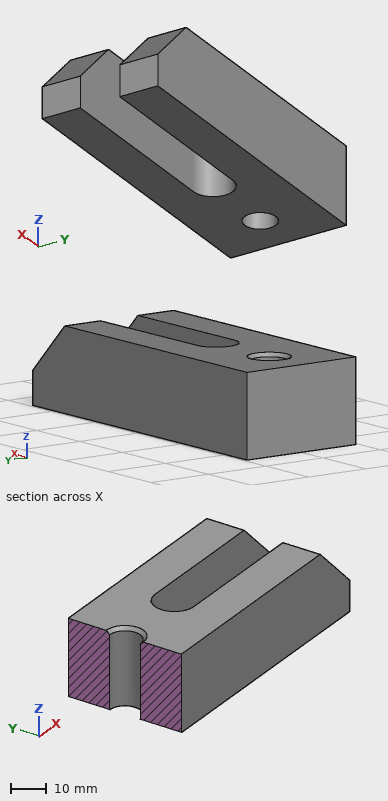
import cadquery as cq

length = 100.0
width = 38.0
height = 25.0
nose_bevel = 15.0

slot_width = 13.0
slot_end_center_x = 40.0

hole_x = 15.0
hole_diameter = 10.2
countersink_diameter = 12.4
countersink_depth = (countersink_diameter - hole_diameter) / 2


def make_block():
    """Rectangular bar with the upper edge of its nose bevelled."""
    profile = [
        (0, 0),
        (length, 0),
        (length, height - nose_bevel),
        (length - nose_bevel, height),
        (0, height),
    ]
    return cq.Workplane("XZ").polyline(profile).close().extrude(width / 2, both=True)


def make_slot():
    """Full-height slot with a round inner end, open at the nose."""
    radius = slot_width / 2
    return (
        cq.Workplane("XY")
        .moveTo(length, -radius)
        .lineTo(slot_end_center_x, -radius)
        .threePointArc((slot_end_center_x - radius, 0), (slot_end_center_x, radius))
        .lineTo(length, radius)
        .close()
        .extrude(height)
    )


def make_hole():
    """Vertical through hole widening to the countersink at the top face."""
    hole_radius = hole_diameter / 2
    profile = [
        (0, 0),
        (hole_radius, 0),
        (hole_radius, height - countersink_depth),
        (countersink_diameter / 2, height),
        (0, height),
    ]
    hole = cq.Workplane("XZ").polyline(profile).close().revolve(360, (0, 0), (0, 1))
    return hole.translate((hole_x, 0, 0))


result = make_block().cut(make_slot()).cut(make_hole())